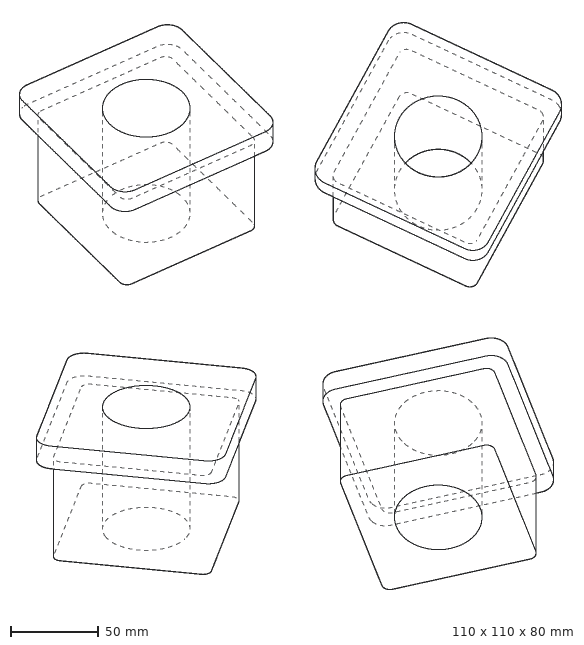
import cadquery as cq

flange_side = 110.0
flange_thickness = 15.0
flange_corner_radius = 10.0
body_side = 92.0
body_corner_radius = 5.0
total_height = 80.0
bore_diameter = 50.0

body_height = total_height - flange_thickness


def rounded_square_block(side, height, corner_radius, base_z):
    """Square block centred on Z with rounded vertical edges."""
    return (
        cq.Workplane("XY")
        .workplane(offset=base_z)
        .rect(side, side)
        .extrude(height)
        .edges("|Z")
        .fillet(corner_radius)
    )


body = rounded_square_block(body_side, body_height, body_corner_radius, 0)
flange = rounded_square_block(flange_side, flange_thickness, flange_corner_radius, body_height)

bore = cq.Workplane("XY").circle(bore_diameter / 2).extrude(total_height)

result = body.union(flange).cut(bore)